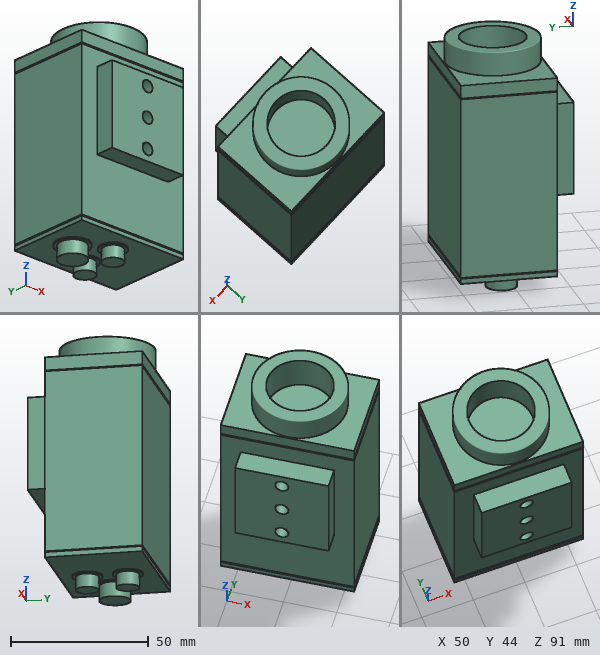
import cadquery as cq

width = 50.0
depth = 36.0
height = 76.0
front_plate_height = 5.0
rear_plate_height = 2.0
seam_height = 0.3
seam_depth = 0.3

mount_diameter = 35.0
mount_height = 9.0
mount_rim_fillet = 0.3
bore_diameter = 24.6
bore_depth = 13.0

pad_size = 35.0
pad_thickness = 8.0
pad_top_offset = 12.5
hole_diameter = 4.92
hole_spacing = 12.5
hole_depth = pad_thickness

flange_height = 0.5
large_diameter = 11.5
large_flange_diameter = 14.0
large_height = 6.0
large_position = (-13.0, 0.0)
small_diameter = 8.5
small_flange_diameter = 11.0
small_height = 5.5
small_positions = [(0.0, -7.5), (0.0, 7.5)]


def make_housing():
    """Rectangular housing standing on Z = 0."""
    return cq.Workplane("XY").box(width, depth, height, centered=(True, True, False))


def make_seam(bottom):
    """Shallow rectangular frame that cuts a seam groove around the housing."""
    outer = cq.Workplane("XY", origin=(0, 0, bottom)).rect(width, depth)
    return outer.rect(width - 2 * seam_depth, depth - 2 * seam_depth).extrude(seam_height)


def make_mount():
    """Lens ring with a rounded outer rim, solid until the bore is cut."""
    base = cq.Workplane("XY", origin=(0, 0, height))
    ring = base.circle(mount_diameter / 2).extrude(mount_height)
    return ring.faces(">Z").edges().fillet(mount_rim_fillet)


def make_bore():
    """Blind bore from the top of the lens ring down into the housing."""
    top = cq.Workplane("XY", origin=(0, 0, height + mount_height))
    return top.circle(bore_diameter / 2).extrude(-bore_depth)


def make_pad():
    """Square pad with a vertical row of three blind holes."""
    pad_centre_z = height - pad_top_offset - pad_size / 2
    face = cq.Workplane("XZ", origin=(0, -depth / 2, pad_centre_z))
    pad = face.rect(pad_size, pad_size).extrude(pad_thickness)
    hole_row = face.workplane(offset=pad_thickness).rarray(1, hole_spacing, 1, 3)
    holes = hole_row.circle(hole_diameter / 2).extrude(-hole_depth)
    return pad.cut(holes)


def make_connector(position, diameter, flange_diameter, length):
    """Round connector with a thin flange, hanging below the rear plate."""
    base = cq.Workplane("XY").center(*position)
    flange = base.circle(flange_diameter / 2).extrude(-flange_height)
    return flange.union(base.circle(diameter / 2).extrude(-length))


result = make_housing()
result = result.cut(make_seam(height - front_plate_height - seam_height))
result = result.cut(make_seam(rear_plate_height))
result = result.union(make_mount()).cut(make_bore())
result = result.union(make_pad())
result = result.union(make_connector(large_position, large_diameter, large_flange_diameter, large_height))
for small_position in small_positions:
    small = make_connector(small_position, small_diameter, small_flange_diameter, small_height)
    result = result.union(small)